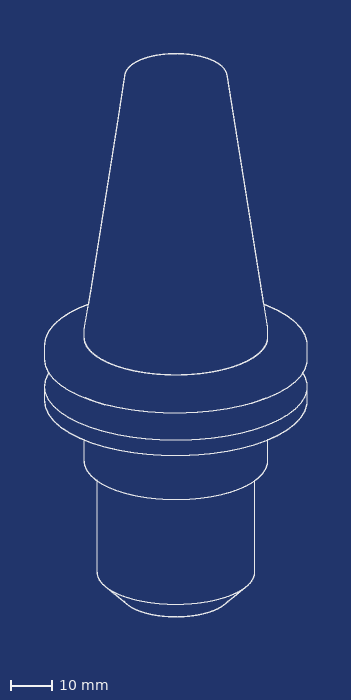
import cadquery as cq
import math

GAUGE_DIAMETER = 44.45
TAPER_LENGTH = 68.25
TAPER_RATIO = 7 / 24
TAPER_TIP_FILLET = 1.2

FLANGE_DIAMETER = 63.5
FLANGE_TOP_Z = -3.175
FLANGE_THICKNESS = 15.875
FLANGE_RIM_FILLET = 0.7
FLANGE_ROOT_FILLET = 0.8

NECK_DIAMETER = 44.2
NECK_TOP_Z = -1.75

GROOVE_FLOOR_DIAMETER = 56.35
GROOVE_CENTRE_Z = -11.125
GROOVE_MOUTH_WIDTH = 7.2
GROOVE_WALL_ANGLE = 30
GROOVE_ROOT_FILLET = 0.65

COLLAR_DIAMETER = GAUGE_DIAMETER
COLLAR_BOTTOM_Z = -35.0
COLLAR_FILLET = 0.8

NOSE_DIAMETER = 38.1
NOSE_BOTTOM_Z = -69.85
NOSE_CHAMFER = 6.0

SELECTION_MARGIN = 0.01

gauge_radius = GAUGE_DIAMETER / 2
taper_tip_radius = gauge_radius - TAPER_LENGTH * TAPER_RATIO / 2
flange_radius = FLANGE_DIAMETER / 2
flange_bottom_z = FLANGE_TOP_Z - FLANGE_THICKNESS


def cylinder(diameter, bottom_z, top_z):
    """Solid cylinder on the Z axis between two heights."""
    return cq.Workplane("XY").workplane(offset=bottom_z).circle(diameter / 2).extrude(top_z - bottom_z)


def make_taper():
    """Cone above the gauge plane, rounded at its tip."""
    profile = [
        (0, 0),
        (gauge_radius, 0),
        (taper_tip_radius, TAPER_LENGTH),
        (0, TAPER_LENGTH),
    ]
    cone = cq.Workplane("XZ").polyline(profile).close().revolve(360, (0, 0, 0), (0, 1, 0))
    return cone.faces(">Z").edges().fillet(TAPER_TIP_FILLET)


def make_groove_cutter():
    """Ring that cuts the V groove, before its floor corners are rounded."""
    floor_radius = GROOVE_FLOOR_DIAMETER / 2
    depth = flange_radius - floor_radius
    half_mouth = GROOVE_MOUTH_WIDTH / 2
    half_floor = half_mouth - depth * math.tan(math.radians(GROOVE_WALL_ANGLE))
    profile = [
        (floor_radius, GROOVE_CENTRE_Z - half_floor),
        (flange_radius, GROOVE_CENTRE_Z - half_mouth),
        (flange_radius, GROOVE_CENTRE_Z + half_mouth),
        (floor_radius, GROOVE_CENTRE_Z + half_floor),
    ]
    return cq.Workplane("XZ").polyline(profile).close().revolve(360, (0, 0, 0), (0, 1, 0))


def make_flange():
    """Flange with rounded corners and the V groove around its rim."""
    flange = cylinder(FLANGE_DIAMETER, flange_bottom_z, FLANGE_TOP_Z)
    flange = flange.cut(make_groove_cutter())
    groove_floor_edges = cq.selectors.RadiusNthSelector(0)
    flange = flange.edges(groove_floor_edges).fillet(GROOVE_ROOT_FILLET)
    return flange.faces("<Z or >Z").edges().fillet(FLANGE_RIM_FILLET)


def make_neck():
    """Short land under the taper, then the slightly narrower neck down to the flange."""
    land = cylinder(GAUGE_DIAMETER, NECK_TOP_Z, 0)
    return land.union(cylinder(NECK_DIAMETER, FLANGE_TOP_Z, NECK_TOP_Z))


def make_collar():
    """Cylinder under the flange, rounded at its lower end."""
    collar = cylinder(COLLAR_DIAMETER, COLLAR_BOTTOM_Z, flange_bottom_z)
    return collar.faces("<Z").edges().fillet(COLLAR_FILLET)


def make_nose():
    """Lower cylinder with a wide chamfer at its end."""
    nose = cylinder(NOSE_DIAMETER, NOSE_BOTTOM_Z, COLLAR_BOTTOM_Z)
    return nose.faces("<Z").edges().chamfer(NOSE_CHAMFER)


def fillet_flange_root(body, root_diameter, face_z):
    """Round the corner where a cylinder meets one face of the flange."""
    reach = root_diameter / 2 + SELECTION_MARGIN
    corner = cq.selectors.BoxSelector(
        (-reach, -reach, face_z - SELECTION_MARGIN),
        (reach, reach, face_z + SELECTION_MARGIN),
        boundingbox=True,
    )
    return body.edges(corner).fillet(FLANGE_ROOT_FILLET)


body = make_taper().union(make_neck()).union(make_flange()).union(make_collar()).union(make_nose())
body = fillet_flange_root(body, NECK_DIAMETER, FLANGE_TOP_Z)
result = fillet_flange_root(body, COLLAR_DIAMETER, flange_bottom_z)